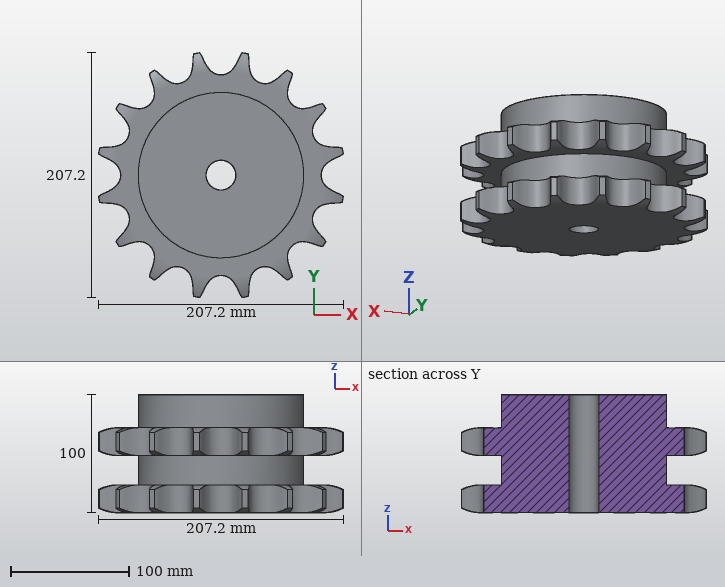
import cadquery as cq
import math

PITCH = 38.1
ROLLER_DIAMETER = 25.4
TEETH = 16
TIP_DIAMETER = 210.28

ROW_SPACING = 48.36
ROWS = 2
TOOTH_WIDTH = 23.6
OVERALL_HEIGHT = 100.0

HUB_DIAMETER = 140.0
BORE_DIAMETER = 25.0

FACE_FLAT_RADIUS = 88.15
FACE_ROUNDING_RADIUS = PITCH

TIP_RADIUS = TIP_DIAMETER / 2
TOOTH_ANGLE = 360 / TEETH
PITCH_RADIUS = PITCH / (2 * math.sin(math.radians(TOOTH_ANGLE / 2)))

SEAT_RADIUS = 1.005 * ROLLER_DIAMETER / 2
SEAT_END_ANGLE = 35 + 60 / TEETH
WORKING_SWEEP = 18 - 56 / TEETH
STRAIGHT_ANGLE = 17 - 64 / TEETH
WORKING_OFFSET = 0.8 * ROLLER_DIAMETER
TOPPING_OFFSET = 1.4 * ROLLER_DIAMETER
WORKING_RADIUS = WORKING_OFFSET + SEAT_RADIUS
STRAIGHT_LENGTH = (
    TOPPING_OFFSET * math.sin(math.radians(STRAIGHT_ANGLE))
    - WORKING_OFFSET * math.sin(math.radians(WORKING_SWEEP))
)
TOPPING_RADIUS = (
    WORKING_OFFSET * math.cos(math.radians(WORKING_SWEEP))
    + TOPPING_OFFSET * math.cos(math.radians(STRAIGHT_ANGLE))
    - WORKING_RADIUS
)
TOPPING_SWEEP = 20.0
CUTTER_CLEARANCE = 5.0


def offset_point(origin, distance, angle):
    """Point at a distance and an angle in degrees from an origin."""
    turn = math.radians(angle)
    return (origin[0] + distance * math.cos(turn), origin[1] + distance * math.sin(turn))


def mirrored(point):
    return (-point[0], point[1])


def gap_cutter():
    """Prism filling one tooth gap, centred on the +Y axis."""
    roller_centre = (0, PITCH_RADIUS)
    seat_bottom = offset_point(roller_centre, SEAT_RADIUS, -90)
    seat_end = offset_point(roller_centre, SEAT_RADIUS, -SEAT_END_ANGLE)

    working_centre = offset_point(roller_centre, -WORKING_OFFSET, -SEAT_END_ANGLE)
    working_end_angle = WORKING_SWEEP - SEAT_END_ANGLE
    working_mid = offset_point(working_centre, WORKING_RADIUS, working_end_angle - WORKING_SWEEP / 2)
    working_end = offset_point(working_centre, WORKING_RADIUS, working_end_angle)

    straight_end = offset_point(working_end, STRAIGHT_LENGTH, working_end_angle + 90)

    topping_centre = offset_point(straight_end, TOPPING_RADIUS, working_end_angle)
    topping_start_angle = working_end_angle + 180
    topping_mid = offset_point(topping_centre, TOPPING_RADIUS, topping_start_angle - TOPPING_SWEEP / 2)
    topping_end = offset_point(topping_centre, TOPPING_RADIUS, topping_start_angle - TOPPING_SWEEP)
    outer_corner = (topping_end[0], TIP_RADIUS + CUTTER_CLEARANCE)

    return (
        cq.Workplane("XY")
        .moveTo(*mirrored(seat_end))
        .threePointArc(seat_bottom, seat_end)
        .threePointArc(working_mid, working_end)
        .lineTo(*straight_end)
        .threePointArc(topping_mid, topping_end)
        .lineTo(*outer_corner)
        .lineTo(*mirrored(outer_corner))
        .lineTo(*mirrored(topping_end))
        .threePointArc(mirrored(topping_mid), mirrored(straight_end))
        .lineTo(*mirrored(working_end))
        .threePointArc(mirrored(working_mid), mirrored(seat_end))
        .close()
        .extrude(TOOTH_WIDTH)
    )


def rounded_disc():
    """Toothless row blank whose two faces curve inwards near the rim."""

    def rounding_depth(radius):
        reach = radius - FACE_FLAT_RADIUS
        return FACE_ROUNDING_RADIUS - math.sqrt(FACE_ROUNDING_RADIUS**2 - reach**2)

    mid_radius = (FACE_FLAT_RADIUS + TIP_RADIUS) / 2
    mid_depth = rounding_depth(mid_radius)
    tip_depth = rounding_depth(TIP_RADIUS)
    return (
        cq.Workplane("XZ")
        .lineTo(FACE_FLAT_RADIUS, 0)
        .threePointArc((mid_radius, mid_depth), (TIP_RADIUS, tip_depth))
        .lineTo(TIP_RADIUS, TOOTH_WIDTH - tip_depth)
        .threePointArc((mid_radius, TOOTH_WIDTH - mid_depth), (FACE_FLAT_RADIUS, TOOTH_WIDTH))
        .lineTo(0, TOOTH_WIDTH)
        .close()
        .revolve(360, (0, 0), (0, 1))
    )


def toothed_row():
    """One row of teeth standing on the XY plane, with gaps centred on the X and Y axes."""
    row = rounded_disc()
    cutter = gap_cutter()
    for index in range(TEETH):
        row = row.cut(cutter.rotate((0, 0, 0), (0, 0, 1), index * TOOTH_ANGLE))
    return row


def sprocket():
    """Hub carrying the tooth rows, bored through."""
    body = cq.Workplane("XY").circle(HUB_DIAMETER / 2).extrude(OVERALL_HEIGHT)
    row = toothed_row()
    for index in range(ROWS):
        body = body.union(row.translate((0, 0, index * ROW_SPACING)))
    bore = cq.Workplane("XY").circle(BORE_DIAMETER / 2).extrude(OVERALL_HEIGHT)
    return body.cut(bore)


result = sprocket()